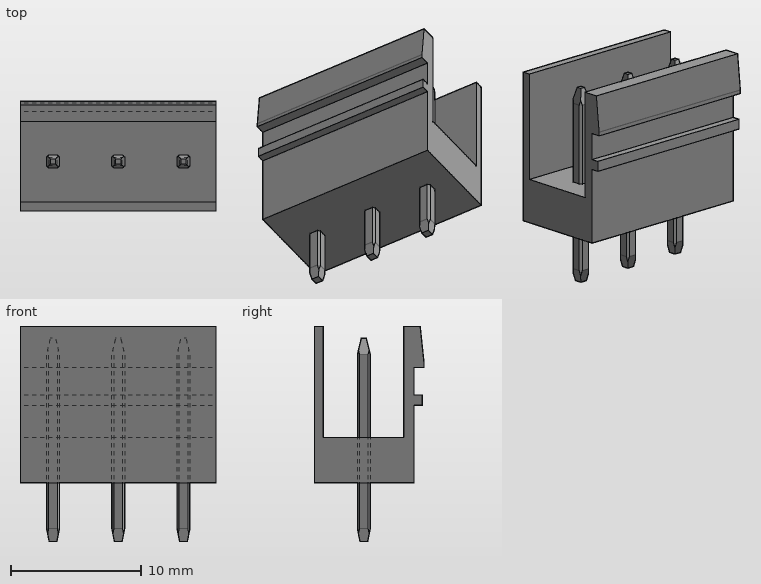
import cadquery as cq

housing_length = 15.0
housing_height = 12.0
floor_thickness = 3.5
front_wall = 0.7
back_wall = 0.8
trough_width = 6.15

barb_bottom = 8.85
barb_flat = 0.3
barb_lead_in = 0.3
barb_reach = 0.78
rib_bottom = 5.95
rib_height = 0.8
rib_reach = 0.63

pin_count = 3
pin_pitch = 5.0
pin_size = 1.0
pin_chamfer = 0.17
pin_top = 11.1
pin_bottom = -4.5
top_tip_length = 1.25
top_tip_size = 0.4
bottom_tip_length = 1.0
bottom_tip_size = 0.6
pin_axis_from_front = 3.8

front_y = -pin_axis_from_front
trough_front_y = front_y + front_wall
trough_back_y = trough_front_y + trough_width
back_y = trough_back_y + back_wall
barb_y = back_y + barb_reach
rib_y = back_y + rib_reach
first_pin_x = -pin_pitch * (pin_count - 1) / 2
pin_positions = [(first_pin_x + i * pin_pitch, 0) for i in range(pin_count)]


def square_bar(bottom, top):
    """Chamfered square bar along Z, centred on the Z axis."""
    bar = cq.Workplane("XY").workplane(offset=bottom).rect(pin_size, pin_size).extrude(top - bottom)
    return bar.edges("|Z").chamfer(pin_chamfer)


def tapered_block(bottom, bottom_size, top, top_size):
    """Square frustum along Z, centred on the Z axis."""
    base = cq.Workplane("XY").workplane(offset=bottom).rect(bottom_size, bottom_size)
    return base.workplane(offset=top - bottom).rect(top_size, top_size).loft(ruled=True)


def make_pin(x, y):
    """One pin, its chamfered bar trimmed by the four sloping faces of each tip."""
    shank_bottom = pin_bottom + bottom_tip_length
    shank_top = pin_top - top_tip_length
    lower_tip = tapered_block(pin_bottom, bottom_tip_size, shank_bottom, pin_size)
    shank = tapered_block(shank_bottom, pin_size, shank_top, pin_size)
    upper_tip = tapered_block(shank_top, pin_size, pin_top, top_tip_size)
    envelope = lower_tip.union(shank).union(upper_tip)
    return square_bar(pin_bottom, pin_top).intersect(envelope).translate((x, y, 0))


def make_housing():
    """Trough with barb and rib, extruded along X, with a through hole for each pin."""
    profile = [
        (front_y, 0),
        (back_y, 0),
        (back_y, rib_bottom),
        (rib_y, rib_bottom),
        (rib_y, rib_bottom + rib_height),
        (back_y, rib_bottom + rib_height),
        (back_y, barb_bottom),
        (barb_y, barb_bottom),
        (barb_y, barb_bottom + barb_flat),
        (barb_y - barb_lead_in, housing_height),
        (trough_back_y, housing_height),
        (trough_back_y, floor_thickness),
        (trough_front_y, floor_thickness),
        (trough_front_y, housing_height),
        (front_y, housing_height),
    ]
    body = cq.Workplane("YZ").polyline(profile).close().extrude(housing_length / 2, both=True)
    for x, y in pin_positions:
        body = body.cut(square_bar(0, floor_thickness).translate((x, y, 0)))
    return body


housing = make_housing()
pins = [make_pin(x, y) for x, y in pin_positions]

result = cq.Compound.makeCompound([housing.val(), *[pin.val() for pin in pins]])